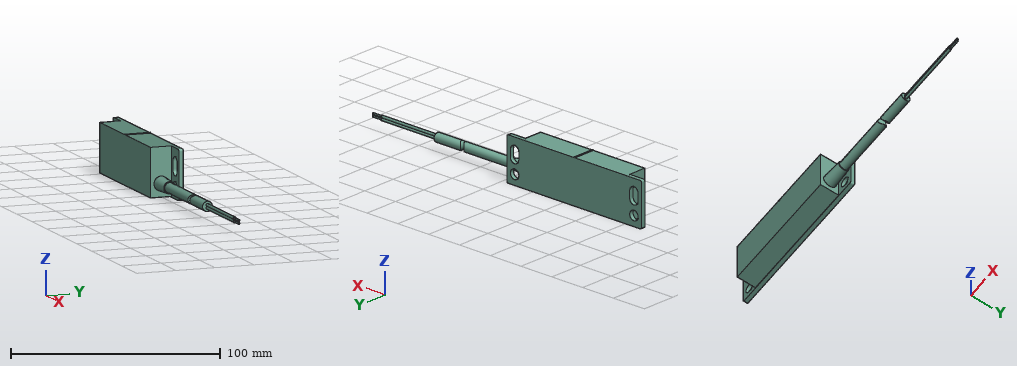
import cadquery as cq

PLATE_LENGTH = 87.7
PLATE_THICKNESS = 2.4
PLATE_HEIGHT = 25.0
PLATE_CORNER_RADIUS = 1.0
HOUSING_DEPTH = 13.0
EAR_LENGTH = 10.0
BLOCK_LENGTH = PLATE_LENGTH - 2 * EAR_LENGTH
BLOCK_BOTTOM_STEP = 0.4

HOLE_DIAMETER = 5.5
HOLE_END_DISTANCE = 5.0
ROUND_HOLE_Z = -6.7
SLOT_LENGTH = 9.5
SLOT_Z = 3.5

RIDGE_WIDTH = 1.0
RIDGE_RISE = 0.4

AXIS_Y = -7.6
AXIS_Z = -5.5
BUSHING_LENGTH = 11.5
BUSHING_BASE_DIAMETER = 7.3
BUSHING_END_DIAMETER = 6.0
CABLE_DIAMETER = 5.0
CABLE_RADIUS = CABLE_DIAMETER / 2
BREAK_X = 121.8
BREAK_GAP = 2.4
BREAK_BULGE = 1.6
CABLE_END_X = 139.5

TOTAL_LENGTH = 181.5
WIRE_DIAMETER = 1.5
CORE_DIAMETER = 0.9
CORE_LENGTH = 5.8

BLOCK_END_X = EAR_LENGTH + BLOCK_LENGTH
BUSHING_END_X = BLOCK_END_X + BUSHING_LENGTH
CORE_START_X = TOTAL_LENGTH - CORE_LENGTH


def box(x_start, x_end, y_front, z_bottom, z_top):
    """Box with its back face on Y = 0."""
    size = (x_end - x_start, -y_front, z_top - z_bottom)
    return cq.Workplane("XY").box(*size, centered=False).translate((x_start, y_front, z_bottom))


def rod(x_start, x_end, diameter, axis_z=AXIS_Z):
    """Round rod along X at the depth of the cable axis."""
    plane = cq.Workplane("YZ", origin=(x_start, AXIS_Y, axis_z))
    return plane.circle(diameter / 2).extrude(x_end - x_start)


def make_plate():
    """Mounting plate with a slot and a round hole in each ear."""
    half_height = PLATE_HEIGHT / 2
    plate = box(0, PLATE_LENGTH, -PLATE_THICKNESS, -half_height, half_height)
    plate = plate.edges("|Y").fillet(PLATE_CORNER_RADIUS)
    ear_centers = (HOLE_END_DISTANCE, PLATE_LENGTH - HOLE_END_DISTANCE)
    sketch = cq.Workplane("XZ")
    slots = sketch.pushPoints([(x, SLOT_Z) for x in ear_centers])
    slots = slots.slot2D(SLOT_LENGTH, HOLE_DIAMETER, 90).extrude(PLATE_THICKNESS)
    holes = sketch.pushPoints([(x, ROUND_HOLE_Z) for x in ear_centers])
    holes = holes.circle(HOLE_DIAMETER / 2).extrude(PLATE_THICKNESS)
    return plate.cut(slots).cut(holes)


def make_bushing():
    """Tapered cable outlet on the +X end of the block."""
    base = cq.Workplane("YZ", origin=(BLOCK_END_X, AXIS_Y, AXIS_Z)).circle(BUSHING_BASE_DIAMETER / 2)
    return base.workplane(offset=BUSHING_LENGTH).circle(BUSHING_END_DIAMETER / 2).loft()


def make_ridge():
    """Triangular marking ridge at mid length, running front to back across the top face."""
    top_z = PLATE_HEIGHT / 2
    middle_x = PLATE_LENGTH / 2
    outline = cq.Workplane("XZ").polyline(
        [
            (middle_x - RIDGE_WIDTH / 2, top_z),
            (middle_x, top_z + RIDGE_RISE),
            (middle_x + RIDGE_WIDTH / 2, top_z),
        ]
    )
    return outline.close().extrude(HOUSING_DEPTH)


def make_housing():
    """Plate, block, marking ridge and cable outlet as one solid."""
    half_height = PLATE_HEIGHT / 2
    block = box(EAR_LENGTH, BLOCK_END_X, -HOUSING_DEPTH, BLOCK_BOTTOM_STEP - half_height, half_height)
    return make_plate().union(block).union(make_ridge()).union(make_bushing())


def break_region(edge_x, end_x):
    """Region from the curved break line to end_x; the line bulges toward -X at the cable axis."""
    top_z = AXIS_Z + CABLE_RADIUS
    bottom_z = AXIS_Z - CABLE_RADIUS
    outline = (
        cq.Workplane("XZ", origin=(0, AXIS_Y, 0))
        .moveTo(end_x, top_z)
        .lineTo(edge_x, top_z)
        .threePointArc((edge_x - BREAK_BULGE, AXIS_Z), (edge_x, bottom_z))
        .lineTo(end_x, bottom_z)
        .close()
    )
    return outline.extrude(CABLE_RADIUS, both=True)


def make_wire(axis_z):
    """Insulated wire with its bare core, starting on the end face of the cable."""
    insulation = rod(CABLE_END_X, CORE_START_X, WIRE_DIAMETER, axis_z)
    return insulation.union(rod(CORE_START_X, TOTAL_LENGTH, CORE_DIAMETER, axis_z))


def make_inner_cable():
    """Cable length from the bushing to the hollow side of the break."""
    return rod(BUSHING_END_X, BREAK_X, CABLE_DIAMETER).cut(break_region(BREAK_X, CABLE_END_X))


def make_outer_cable():
    """Cable length from the bulged side of the break to the end that carries the wires."""
    cable = rod(BUSHING_END_X, CABLE_END_X, CABLE_DIAMETER)
    return cable.intersect(break_region(BREAK_X + BREAK_GAP, CABLE_END_X))


housing = make_housing()
inner_cable = make_inner_cable()
outer_cable = make_outer_cable()
wires = [make_wire(AXIS_Z + side * WIRE_DIAMETER / 2) for side in (1, -1)]

result = cq.Compound.makeCompound(
    [
        housing.solids().val(),
        inner_cable.solids().val(),
        outer_cable.solids().val(),
        *[wire.solids().val() for wire in wires],
    ]
)